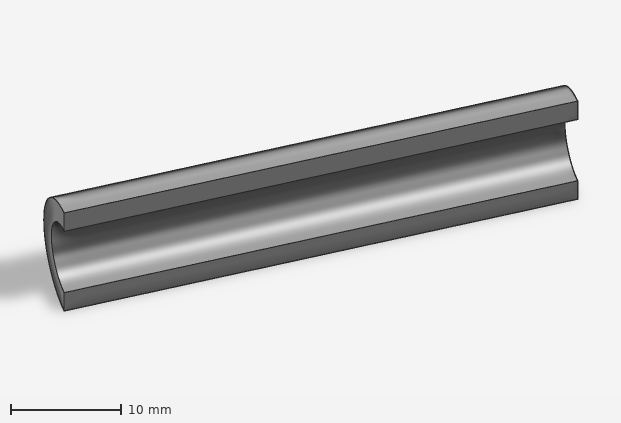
import cadquery as cq

length = 49.0
outer_diameter = 12.0
inner_diameter = 7.5

outer_radius = outer_diameter / 2
inner_radius = inner_diameter / 2

section = (
    cq.Workplane("XZ")
    .moveTo(0, outer_radius)
    .threePointArc((-outer_radius, 0), (0, -outer_radius))
    .lineTo(0, -inner_radius)
    .threePointArc((-inner_radius, 0), (0, inner_radius))
    .close()
)

result = section.extrude(length / 2, both=True)